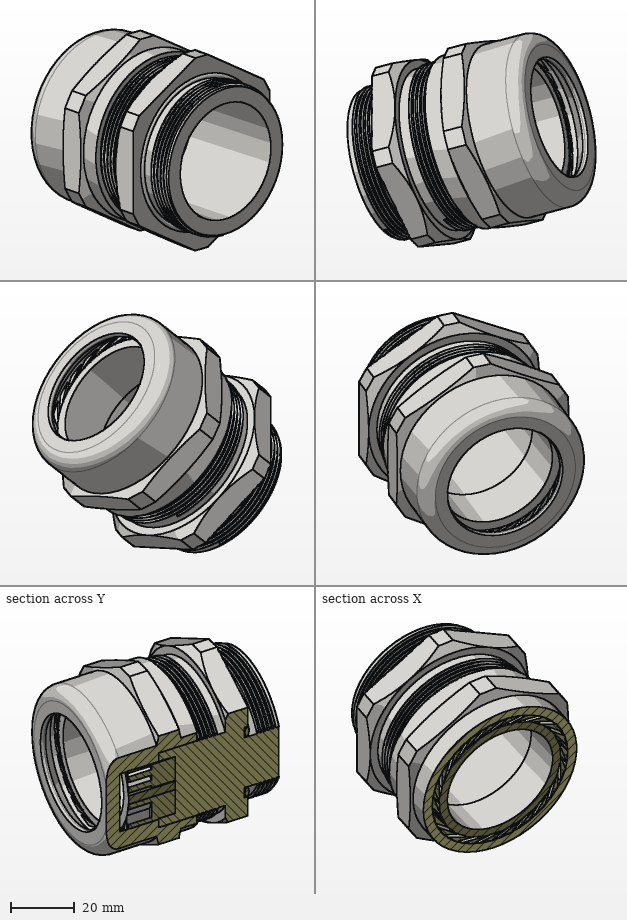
import cadquery as cq
import math


across_flats = 58.05
body_across_corners = 64.0
nut_across_corners = 63.6

nut_dia = 56.3
nut_end = 32.95
nut_fillet = 4.5
nut_hex_start = 18.3
nut_hex_end = 27.1
nut_chamfer_length = 1.15
nut_chamfer_dia = 56.5
lip_dia = 38.9
throat_dia = 38.4
throat_start = 1.0
lip_length = 1.7

cage_dia = 49.4
cage_front = 8.05
cone_end = 5.1
cone_dia = 44.4
finger_count = 22
finger_slot_length = 8.3
finger_slot_width = 0.9
finger_slot_span = 10.25
finger_slot_slant = 68.0
finger_slot_angle = 6.0

seal_dia = 44.4
seal_front = 8.05
seal_back = 25.2

bore_dia = 38.4
nipple_dia = 52.5
nipple_front = 19.2
body_hex_start = 43.1
body_hex_end = 51.3
body_chamfer_length = 2.2
body_chamfer_dia = 58.05
neck_dia = 48.3
body_end = 62.6

thread_pitch = 1.5
thread_height = 0.7
thread_root_width = 0.9
thread_sink = 0.1
nipple_thread_start = 33.35
nipple_thread_start_angle = 90.0
nipple_thread_turns = 4.75
neck_thread_start = 54.0
neck_thread_start_angle = 0.0
neck_thread_turns = 5.0

o_ring_dia = 51.65
o_ring_end = 51.8


def cylinder(diameter, start, end):
    """Solid cylinder on the X axis from x = start to x = end."""
    return cq.Workplane("YZ", origin=(start, 0, 0)).circle(diameter / 2).extrude(end - start)


def tube(outer_dia, inner_dia, start, end):
    return cylinder(outer_dia, start, end).cut(cylinder(inner_dia, start, end))


def revolved(points):
    """Turn a closed (x, radius) outline about the X axis."""
    return cq.Workplane("XY").polyline(points).close().revolve(360, (0, 0, 0), (1, 0, 0))


def hexagon(width, start, end, turn):
    """Hexagonal prism of the given width across flats; turn = 0 puts two flats on the Y sides."""
    prism = (
        cq.Workplane("YZ", origin=(start, 0, 0))
        .polygon(6, width / math.cos(math.pi / 6))
        .extrude(end - start)
    )
    return prism.rotate((0, 0, 0), (1, 0, 0), turn + 30)


def cut_corner_hexagon(across_corners, start, end):
    """Hexagonal prism with each corner cut off flat."""
    return hexagon(across_flats, start, end, 0).intersect(hexagon(across_corners, start, end, 30))


def chamfer_cone(small_dia, across_corners, length, start, end):
    """Turned blank that starts at small_dia and widens past the hexagon corners."""
    small_radius = small_dia / 2
    slope = (across_corners / 2 - small_radius) / length
    blank_radius = across_corners / 2 + slope * length
    cone_end_x = start + 2 * length
    return revolved([
        (start, 0),
        (start, small_radius),
        (cone_end_x, blank_radius),
        (end, blank_radius),
        (end, 0),
    ])


def thread_ridge(root_dia, start, start_angle, turns):
    """Right-hand helical ridge of triangular section, rooted slightly below the root diameter."""
    root_radius = root_dia / 2
    half_width = thread_root_width / 2
    sunk_half_width = half_width * (1 + thread_sink / thread_height)
    sunk_radius = root_radius - thread_sink
    path = cq.Wire.makeHelix(thread_pitch, thread_pitch * turns, root_radius)
    ridge = (
        cq.Workplane("XZ")
        .polyline([
            (sunk_radius, -sunk_half_width),
            (root_radius + thread_height, 0),
            (sunk_radius, sunk_half_width),
        ])
        .close()
        .sweep(cq.Workplane(path), isFrenet=True)
    )
    along_x = ridge.rotate((0, 0, 0), (0, 1, 0), 90)
    return along_x.rotate((0, 0, 0), (1, 0, 0), start_angle).translate((start, 0, 0))


def make_cap_nut():
    shell = cylinder(nut_dia, 0, nut_end).faces("<X").edges().fillet(nut_fillet)
    grip = cut_corner_hexagon(nut_across_corners, nut_hex_start, nut_hex_end)
    front_cone = chamfer_cone(
        nut_chamfer_dia, nut_across_corners, nut_chamfer_length, nut_hex_start, nut_hex_end
    )
    hex_middle = (nut_hex_start + nut_hex_end) / 2
    back_cone = front_cone.mirror("YZ", (hex_middle, 0, 0))
    grip = grip.intersect(front_cone).intersect(back_cone)
    cavity = revolved([
        (0, 0),
        (0, lip_dia / 2),
        (throat_start, throat_dia / 2),
        (lip_length, throat_dia / 2),
        (cone_end, cone_dia / 2),
        (cone_end, cage_dia / 2),
        (nipple_front, cage_dia / 2),
        (nipple_front, nipple_dia / 2),
        (nut_end, nipple_dia / 2),
        (nut_end, 0),
    ])
    return shell.union(grip).cut(cavity)


def make_cage():
    """Sleeve around the seal, its front split into slanted clamping fingers."""
    cage = tube(cage_dia, seal_dia, cage_front, seal_back)
    slot = (
        cq.Workplane("XY")
        .box(finger_slot_length, finger_slot_span, finger_slot_width, centered=(False, True, True))
        .rotate((0, 0, 0), (1, 0, 0), finger_slot_slant)
        .translate((cage_front, (cage_dia + seal_dia) / 4, 0))
    )
    for i in range(finger_count):
        angle = finger_slot_angle + i * 360 / finger_count
        cage = cage.cut(slot.rotate((0, 0, 0), (1, 0, 0), angle))
    return cage


def make_seal():
    return tube(seal_dia, bore_dia, seal_front, seal_back)


def make_body():
    nipple = cylinder(nipple_dia, nipple_front, body_hex_start)
    grip = cut_corner_hexagon(body_across_corners, body_hex_start, body_hex_end)
    grip = grip.intersect(chamfer_cone(
        body_chamfer_dia, body_across_corners, body_chamfer_length, body_hex_start, body_hex_end
    ))
    neck = cylinder(neck_dia, body_hex_end, body_end)
    nipple_thread = thread_ridge(
        nipple_dia, nipple_thread_start, nipple_thread_start_angle, nipple_thread_turns
    )
    neck_thread = thread_ridge(neck_dia, neck_thread_start, neck_thread_start_angle, neck_thread_turns)
    body = nipple.union(grip).union(neck)
    body = body.cut(cylinder(bore_dia, nipple_front, body_end))
    body = body.cut(cylinder(cage_dia, nipple_front, seal_back))
    groove_bottom = o_ring_end - (o_ring_dia - neck_dia) / 2
    body = body.cut(tube(o_ring_dia, neck_dia, groove_bottom, body_hex_end))
    return body.union(nipple_thread).union(neck_thread)


def make_o_ring():
    section_dia = (o_ring_dia - neck_dia) / 2
    ring_radius = (o_ring_dia + neck_dia) / 4
    section_center = (o_ring_end - section_dia / 2, ring_radius, 0)
    section = cq.Workplane("XY", origin=section_center).circle(section_dia / 2)
    return section.revolve(360, (0, -ring_radius, 0), (1, -ring_radius, 0))


cap_nut = make_cap_nut()
cage = make_cage()
seal = make_seal()
body = make_body()
o_ring = make_o_ring()

result = cq.Compound.makeCompound([
    cap_nut.val(),
    cage.val(),
    seal.val(),
    body.val(),
    o_ring.val(),
])